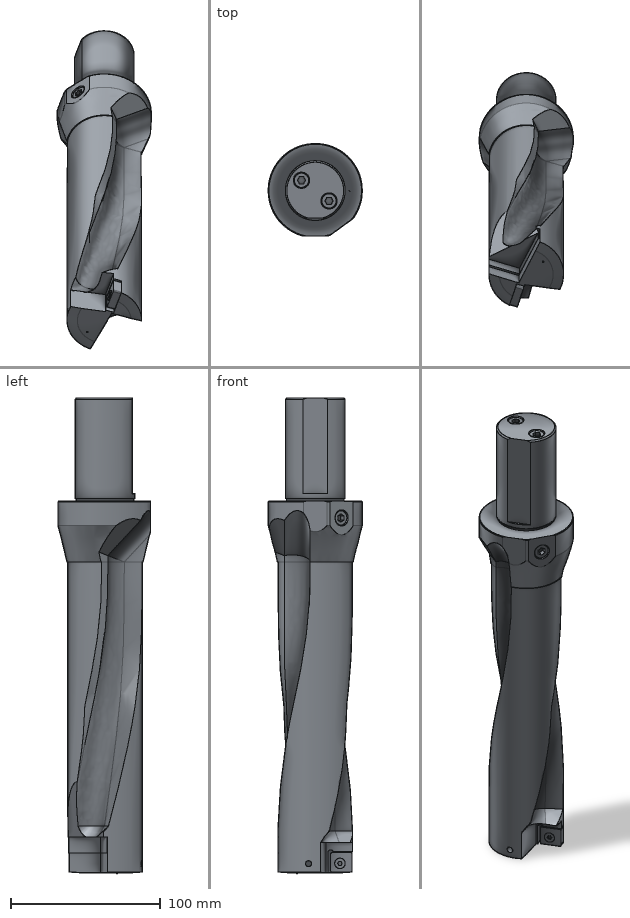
import cadquery as cq
import math


total_length = 318.3
face_height = 0.7
cone_bottom_height = 208.5
cone_top_height = 232.8
head_top_height = 249.3
groove_height = 1.6
shank_flat_bottom_height = 254.2

body_radius = 25.0
cone_bottom_radius = 25.5
head_radius = 31.5
shank_radius = 20.0
groove_radius = 19.3
face_flat_radius = 18.0
face_edge_rise = 0.5
shank_chamfer = 1.0
head_chamfer = 0.5
shank_flat_distance = 18.3
plain_flat_distance = 30.5
plug_flat_distance = 30.0
plug_flat_angle = 36.0
pip_position = (-12.2, -8.0)
pip_radius = 0.5

flute_radius = 12.1
flute_wall_x = -3.4
flute_center_y = -12.9
flute_center_x = flute_wall_x - flute_radius
flute_reach = 32.0
land_length = 16.0
land_corner_angle = 115.0
land_slope_angle = 136.0
land_closed_corner_angle = 138.0
land_closed_slope_angle = 228.0
land_full_height = 112.0
land_end_height = 55.0

straight_height = 200.0
full_twist_height = 120.0
twist_rate = 0.60
section_count = 15
runout_lead = 12.0
runout_tilt = 43.0
runout_rise = 45.0
outer_flute_end_height = 28.5
inner_flute_end_height = 32.0
flute_end_lift = 5.5
outer_flute_end_turn = 10.0

outer_notch_top = 21.0
outer_notch_mouth_x = 3.4
outer_notch_root_x = 7.2
outer_notch_floor_y = -1.5
outer_seat_top = 15.0
outer_seat_left_x = 8.4
outer_seat_floor_y = 4.0
seat_relief_radius = 1.8
inner_notch_top = 24.5
inner_notch_mouth_y = -1.9
inner_notch_root_y = 2.9
inner_notch_wall_x = 6.0
inner_pocket_top = 14.0
inner_pocket_wall_x = 7.2
inner_slope_bottom_distance = 14.5
inner_slope_top_distance = 25.0
inner_slope_top = 62.0
inner_slope_side_shift = 12.0
side_hole_position = (-4.5, 6.8)
side_hole_diameter = 4.0
side_hole_depth = 8.0

insert_left_x = 10.3
insert_right_x = 24.6
insert_bottom = 1.3
insert_top = 14.2
insert_face_y = -1.5
insert_corner_radius = 0.8
screw_position = (16.5, 7.0)
screw_head_diameter = 7.0
screw_head_height = 2.5
screw_shank_diameter = 4.0
screw_length = 10.0
screw_socket_size = 3.0
screw_socket_depth = 1.5

plug_diameter = 9.6
plug_length = 8.0
plug_mouth_diameter = 10.8
plug_recess = 0.7
plug_socket_size = 5.5
plug_socket_depth = 4.0
coolant_plug_position = (9.2, -6.9)
side_plug_height = 238.0


def twist_at(height):
    """Flute rotation in degrees, seen from above, relative to the straight stretch."""
    ramp = straight_height - full_twist_height
    if height >= straight_height:
        return 0.0
    if height >= full_twist_height:
        return -twist_rate * (straight_height - height) ** 2 / (2 * ramp)
    return -twist_rate * (ramp / 2 + full_twist_height - height)


def polar(origin, radius, degrees):
    angle = math.radians(degrees)
    return (origin[0] + radius * math.cos(angle), origin[1] + radius * math.sin(angle))


def flute_section(height, lift=0.0, extra_turn=0.0):
    """Closed wire: straight wall, round bottom and land, with the mouth outside the body.

    The lift moves the section away from the axis, and the extra turn adds to the twist.
    """
    openness = (height - land_end_height) / (land_full_height - land_end_height)
    openness = min(1.0, max(0.0, openness))
    corner_angle = land_closed_corner_angle + openness * (land_corner_angle - land_closed_corner_angle)
    slope_angle = land_closed_slope_angle + openness * (land_slope_angle - land_closed_slope_angle)
    center = (flute_center_x, flute_center_y)
    corner = polar(center, flute_radius, corner_angle)
    wire = (
        cq.Workplane("XY")
        .moveTo(flute_wall_x, -flute_reach)
        .lineTo(flute_wall_x, flute_center_y)
        .threePointArc(polar(center, flute_radius, corner_angle / 2), corner)
        .lineTo(*polar(corner, land_length, slope_angle))
        .lineTo(-flute_reach, -flute_reach)
        .close()
        .val()
    )
    outward = lift / math.hypot(*center)
    wire = wire.translate((center[0] * outward, center[1] * outward, height))
    return wire.rotate((0, 0, 0), (0, 0, 1), twist_at(height) - extra_turn)


def flute_runout():
    """Part of the flute that leans outward through the head, mitred to the straight stretch."""
    start = cone_bottom_height - runout_lead
    lean = runout_rise * math.tan(math.radians(runout_tilt))
    path = cq.Wire.makePolygon(
        [
            cq.Vector(0, flute_center_y, start),
            cq.Vector(0, flute_center_y, cone_bottom_height),
            cq.Vector(0, flute_center_y - lean, cone_bottom_height + runout_rise),
        ]
    )
    section = flute_section(cone_bottom_height).translate((0, 0, -runout_lead))
    bent = cq.Workplane("XY").add(section).toPending().sweep(cq.Workplane("XY").add(path), transition="right")
    lead_in = (
        cq.Workplane("XY")
        .box(4 * head_radius, 4 * head_radius, runout_lead)
        .translate((0, 0, cone_bottom_height - runout_lead / 2))
    )
    return bent.cut(lead_in)


def flute_pieces(end_height, notch_top, end_turn):
    """Twisted flute, its rising end above the notch and its run-out through the head."""
    step = (cone_bottom_height - end_height) / (section_count - 1)
    heights = [end_height + step * i for i in range(section_count)]
    twisted = cq.Solid.makeLoft([flute_section(height) for height in heights], False)
    rising_end = cq.Solid.makeLoft(
        [flute_section(notch_top, flute_end_lift, end_turn), flute_section(end_height)], True
    )
    return cq.Workplane(twisted), cq.Workplane(rising_end), flute_runout()


def turned_blank():
    profile = [
        (0, face_height),
        (face_flat_radius, face_height),
        (body_radius, face_height + face_edge_rise),
        (body_radius, cone_bottom_height),
        (cone_bottom_radius, cone_bottom_height),
        (head_radius, cone_top_height),
        (head_radius, head_top_height - head_chamfer),
        (head_radius - head_chamfer, head_top_height),
        (groove_radius, head_top_height),
        (groove_radius, head_top_height + groove_height),
        (shank_radius, head_top_height + groove_height),
        (shank_radius, total_length - shank_chamfer),
        (shank_radius - shank_chamfer, total_length),
        (0, total_length),
    ]
    blank = cq.Workplane("XZ").polyline(profile).close().revolve(360, (0, 0, 0), (0, 1, 0))
    pip = cq.Solid.makeCone(0, 2 * pip_radius, 2 * face_height, pnt=cq.Vector(*pip_position, 0))
    return blank.union(cq.Workplane(pip))


def flat_cutter(distance, bottom, top, angle=0.0):
    """Block whose +Y face lies at the given distance from the axis, turned from -Y toward +X."""
    size = 2 * head_radius
    return (
        cq.Workplane("XY")
        .box(size, size, top - bottom, centered=(True, False, False))
        .translate((0, -distance - size, bottom))
        .rotate((0, 0, 0), (0, 0, 1), angle)
    )


def outer_notch():
    """Open corner in front of the insert, its side wall leaning toward the floor."""
    reach = body_radius + 1
    return (
        cq.Workplane("XY")
        .polyline(
            [
                (outer_notch_mouth_x, -reach),
                (outer_notch_root_x, outer_notch_floor_y),
                (reach, outer_notch_floor_y),
                (reach, -reach),
            ]
        )
        .close()
        .extrude(outer_notch_top)
    )


def insert_seat():
    """Recess that backs the insert, with a round relief in its inner top corner."""
    depth = outer_seat_floor_y - outer_notch_floor_y
    seat = cq.Workplane("XY").box(body_radius, depth, outer_seat_top, centered=False)
    relief = (
        cq.Workplane("XZ")
        .center(insert_left_x, insert_top)
        .circle(seat_relief_radius)
        .extrude(-depth)
        .translate((0, outer_notch_floor_y, 0))
    )
    return seat.translate((outer_seat_left_x, outer_notch_floor_y, 0)).union(relief)


def inner_notch():
    """Open corner on the opposite side, with a deeper pocket at its lower end."""
    reach = body_radius + 1

    def corner(wall_x, top):
        outline = [
            (-reach, inner_notch_mouth_y),
            (wall_x, inner_notch_root_y),
            (wall_x, reach),
            (-reach, reach),
        ]
        return cq.Workplane("XY").polyline(outline).close().extrude(top)

    return corner(inner_notch_wall_x, inner_notch_top).union(corner(inner_pocket_wall_x, inner_pocket_top))


def inner_slope():
    """Slanted clearance that leads the corner between -X and +Y down to the inner notch."""
    reach = body_radius + 1
    corner_plane = cq.Plane(origin=(0, 0, 0), xDir=(-1, 1, 0), normal=(1, 1, 0))
    return (
        cq.Workplane(corner_plane)
        .polyline(
            [
                (inner_slope_bottom_distance, inner_pocket_top),
                (inner_slope_bottom_distance, inner_notch_top),
                (inner_slope_top_distance, inner_slope_top),
                (reach, inner_slope_top),
                (reach, inner_pocket_top),
            ]
        )
        .close()
        .extrude(2 * reach)
        .translate((-inner_slope_side_shift, -inner_slope_side_shift, 0))
    )


plug_flat_direction = (
    math.sin(math.radians(plug_flat_angle)),
    -math.cos(math.radians(plug_flat_angle)),
    0,
)
plug_planes = [
    cq.Plane(origin=(*coolant_plug_position, total_length), xDir=(1, 0, 0), normal=(0, 0, 1)),
    cq.Plane(
        origin=(-coolant_plug_position[0], -coolant_plug_position[1], total_length),
        xDir=(-1, 0, 0),
        normal=(0, 0, 1),
    ),
    cq.Plane(
        origin=(
            plug_flat_distance * plug_flat_direction[0],
            plug_flat_distance * plug_flat_direction[1],
            side_plug_height,
        ),
        xDir=(0, 0, 1),
        normal=plug_flat_direction,
    ),
]


def plug_hole(plane):
    bore = cq.Workplane(plane).circle(plug_diameter / 2).extrude(-plug_recess - plug_length)
    mouth = (
        cq.Workplane(plane)
        .circle(plug_mouth_diameter / 2)
        .workplane(offset=-plug_recess)
        .circle(plug_diameter / 2)
        .loft()
    )
    return bore.union(mouth)


def make_plug(plane):
    """Round plug with a hexagon socket."""
    face = cq.Workplane(plane).workplane(offset=-plug_recess)
    socket = face.polygon(6, plug_socket_size).extrude(-plug_socket_depth)
    return face.circle(plug_diameter / 2).extrude(-plug_length).cut(socket)


def along_y(diameter, start_y, length, position):
    """Cylinder running toward +Y at the given X and Z."""
    return (
        cq.Workplane("XZ")
        .center(*position)
        .circle(diameter / 2)
        .extrude(-length)
        .translate((0, start_y, 0))
    )


def screw_envelope():
    head = along_y(screw_head_diameter, insert_face_y, screw_head_height, screw_position)
    return head.union(along_y(screw_shank_diameter, insert_face_y, screw_length, screw_position))


def make_insert():
    """Square cutting insert with a counterbored screw hole."""
    plate = cq.Workplane("XY").box(
        insert_right_x - insert_left_x,
        outer_seat_floor_y - insert_face_y,
        insert_top - insert_bottom,
        centered=False,
    )
    plate = plate.edges("|Y").fillet(insert_corner_radius)
    return plate.translate((insert_left_x, insert_face_y, insert_bottom)).cut(screw_envelope())


def make_screw():
    socket = (
        cq.Workplane("XZ")
        .center(*screw_position)
        .polygon(6, screw_socket_size)
        .extrude(-screw_socket_depth)
        .translate((0, insert_face_y, 0))
    )
    return screw_envelope().cut(socket)


def make_body():
    body = turned_blank()
    body = body.cut(flat_cutter(shank_flat_distance, shank_flat_bottom_height, total_length))
    body = body.cut(flat_cutter(plain_flat_distance, cone_bottom_height, head_top_height))
    body = body.cut(flat_cutter(plug_flat_distance, cone_bottom_height, head_top_height, plug_flat_angle))

    flutes = (
        (inner_flute_end_height, inner_notch_top, 0, 0),
        (outer_flute_end_height, outer_notch_top, outer_flute_end_turn, 180),
    )
    for end_height, notch_top, end_turn, turn in flutes:
        for piece in flute_pieces(end_height, notch_top, end_turn):
            body = body.cut(piece.rotate((0, 0, 0), (0, 0, 1), turn))

    body = body.cut(outer_notch()).cut(insert_seat()).cut(inner_notch()).cut(inner_slope())
    body = body.cut(screw_envelope())
    body = body.cut(along_y(side_hole_diameter, -body_radius, side_hole_depth, side_hole_position))
    for plane in plug_planes:
        body = body.cut(plug_hole(plane))
    return body


body = make_body()
insert = make_insert()
insert_screw = make_screw()
plugs = [make_plug(plane) for plane in plug_planes]

result = cq.Compound.makeCompound(
    [
        body.val(),
        insert.val(),
        insert_screw.val(),
        *[plug.val() for plug in plugs],
    ]
)